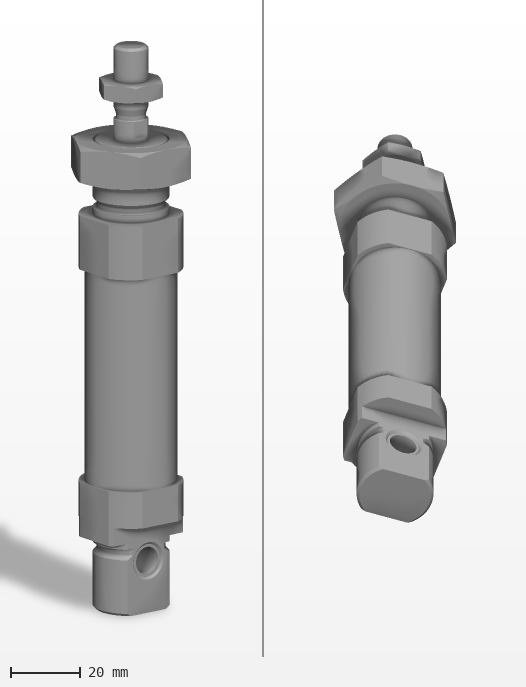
import cadquery as cq
import math

TOTAL_HEIGHT = 166.5

TUBE_DIAMETER = 26.5
HEAD_ACROSS_FLATS = 27.0
HEAD_CORNER_DIAMETER = 30.0
NECK_DIAMETER = 22.0
GROOVE_DIAMETER = 19.6
GROOVE_FILLET = 0.5
NECK_CHAMFER = 0.8
NECK_TOP_Z = 138.7
FRONT_RELIEF_TOP_Z = 121.7
FRONT_GROOVE_BOTTOM_Z = 118.7
FRONT_HEAD_TOP_Z = 116.7
FRONT_HEAD_BOTTOM_Z = 100.7
REAR_HEAD_TOP_Z = 37.8
REAR_SHOULDER_Z = 27.1
REAR_HEAD_BOTTOM_Z = 21.6
REAR_GROOVE_TOP_Z = 19.8
REAR_RELIEF_BOTTOM_Z = 16.6
RELIEF_TAPER = (NECK_DIAMETER - GROOVE_DIAMETER) / 2

EYE_THICKNESS = 16.0
EYE_HOLE_DIAMETER = 8.0
EYE_RECESS_DIAMETER = 9.7
EYE_RECESS_DEPTH = 0.7
EYE_HOLE_Z = 15.3

ROD_DIAMETER = 10.0
ROD_TIP_DIAMETER = 8.5
ROD_GROOVE_DIAMETER = 8.7
ROD_GROOVE_FILLET = 0.3
ROD_THREAD_END_Z = 148.4
ROD_GROOVE_TOP_Z = 146.4
ROD_GROOVE_BOTTOM_Z = 144.9
ROD_ACROSS_FLATS = 8.8
ROD_FLAT_BOTTOM_Z = 140.0

ROD_NUT_ACROSS_FLATS = 17.0
ROD_NUT_HEIGHT = 5.0
ROD_NUT_BOTTOM_Z = 151.3
NECK_NUT_ACROSS_FLATS = 32.0
NECK_NUT_HEIGHT = 11.0
NUT_CHAMFER_ANGLE = math.radians(20)
HEXAGON_SIDES = 6
HEXAGON_HALF_ANGLE = 180 / HEXAGON_SIDES


def turned(profile):
    """Solid of revolution about Z from (radius, z) points, closed along the axis."""
    return cq.Workplane("XZ").polyline(profile).close().revolve(360, (0, 0), (0, 1))


def round_groove_corners(body, groove_diameter, radius):
    """Fillet both bottom corners of every turned groove of the given diameter."""
    circles = body.edges("%CIRCLE")
    corners = circles.filter(lambda edge: math.isclose(edge.radius(), groove_diameter / 2))
    return corners.fillet(radius)


def head_block(bottom_z, top_z):
    """Square head whose corners are rounded by a cylinder."""
    height = top_z - bottom_z
    block = cq.Workplane("XY", origin=(0, 0, bottom_z))
    square = block.rect(HEAD_ACROSS_FLATS, HEAD_ACROSS_FLATS).extrude(height)
    return square.intersect(block.circle(HEAD_CORNER_DIAMETER / 2).extrude(height))


def cut_to_thickness(body, thickness, bottom_z, top_z):
    """Mill two parallel flats, facing -X and +X, between two heights."""
    height = top_z - bottom_z
    cutter_width = HEAD_CORNER_DIAMETER
    for side in (-1, 1):
        center_x = side * (thickness + cutter_width) / 2
        cutter = cq.Workplane("XY", origin=(center_x, 0, bottom_z))
        body = body.cut(cutter.rect(cutter_width, cutter_width).extrude(height))
    return body


def housing_core():
    """Round parts of the housing: rear neck, tube and front neck with their thread reliefs."""
    neck = NECK_DIAMETER / 2
    groove = GROOVE_DIAMETER / 2
    tube = TUBE_DIAMETER / 2
    body = turned([
        (0, 0),
        (neck - NECK_CHAMFER, 0),
        (neck, NECK_CHAMFER),
        (neck, REAR_RELIEF_BOTTOM_Z),
        (groove, REAR_RELIEF_BOTTOM_Z + RELIEF_TAPER),
        (groove, REAR_GROOVE_TOP_Z),
        (neck, REAR_GROOVE_TOP_Z),
        (neck, REAR_HEAD_TOP_Z),
        (tube, REAR_HEAD_TOP_Z),
        (tube, FRONT_HEAD_BOTTOM_Z),
        (neck, FRONT_HEAD_BOTTOM_Z),
        (neck, FRONT_GROOVE_BOTTOM_Z),
        (groove, FRONT_GROOVE_BOTTOM_Z),
        (groove, FRONT_RELIEF_TOP_Z - RELIEF_TAPER),
        (neck, FRONT_RELIEF_TOP_Z),
        (neck, NECK_TOP_Z - NECK_CHAMFER),
        (neck - NECK_CHAMFER, NECK_TOP_Z),
        (0, NECK_TOP_Z),
    ])
    return round_groove_corners(body, GROOVE_DIAMETER, GROOVE_FILLET)


def eye_hole():
    """Cross hole along X with a shallow flared recess on both faces of the eye."""
    hole = EYE_HOLE_DIAMETER / 2
    recess = EYE_RECESS_DIAMETER / 2
    mouth = recess + EYE_RECESS_DEPTH
    face = EYE_THICKNESS / 2
    floor = face - EYE_RECESS_DEPTH
    cutter = turned([
        (0, -face),
        (mouth, -face),
        (recess, -floor),
        (hole, -floor),
        (hole, floor),
        (recess, floor),
        (mouth, face),
        (0, face),
    ])
    return cutter.rotate((0, 0, 0), (0, 1, 0), 90).translate((0, 0, EYE_HOLE_Z))


def make_housing():
    """Core with both heads, the milled rear eye and the rod bore through the front neck and head."""
    body = housing_core()
    body = body.union(head_block(REAR_HEAD_BOTTOM_Z, REAR_HEAD_TOP_Z))
    body = body.union(head_block(FRONT_HEAD_BOTTOM_Z, FRONT_HEAD_TOP_Z))
    body = cut_to_thickness(body, EYE_THICKNESS, 0, REAR_SHOULDER_Z)
    body = body.cut(eye_hole())
    bore_depth = NECK_TOP_Z - FRONT_HEAD_BOTTOM_Z
    rod_bore = cq.Workplane("XY", origin=(0, 0, FRONT_HEAD_BOTTOM_Z))
    return body.cut(rod_bore.circle(ROD_DIAMETER / 2).extrude(bore_depth))


def make_rod():
    """Rod with a chamfered tip, a thread relief and two wrench flats, ending inside the front head."""
    rod = ROD_DIAMETER / 2
    tip = ROD_TIP_DIAMETER / 2
    groove = ROD_GROOVE_DIAMETER / 2
    body = turned([
        (0, FRONT_HEAD_BOTTOM_Z),
        (rod, FRONT_HEAD_BOTTOM_Z),
        (rod, ROD_GROOVE_BOTTOM_Z),
        (groove, ROD_GROOVE_BOTTOM_Z),
        (groove, ROD_GROOVE_TOP_Z),
        (rod, ROD_THREAD_END_Z),
        (rod, TOTAL_HEIGHT - (rod - tip)),
        (tip, TOTAL_HEIGHT),
        (0, TOTAL_HEIGHT),
    ])
    body = round_groove_corners(body, ROD_GROOVE_DIAMETER, ROD_GROOVE_FILLET)
    return cut_to_thickness(body, ROD_ACROSS_FLATS, ROD_FLAT_BOTTOM_Z, ROD_GROOVE_BOTTOM_Z)


def make_nut(across_flats, height, bore_diameter, bottom_z):
    """Hexagon nut with flats facing -X and +X and conical chamfers on both faces."""
    across_corners = across_flats / math.cos(math.radians(HEXAGON_HALF_ANGLE))
    flat = across_flats / 2
    corner = across_corners / 2
    drop = (corner - flat) * math.tan(NUT_CHAMFER_ANGLE)
    blank = cq.Workplane("XY").polygon(HEXAGON_SIDES, across_corners).extrude(height)
    blank = blank.rotate((0, 0, 0), (0, 0, 1), HEXAGON_HALF_ANGLE)
    envelope = turned([
        (0, 0), (flat, 0), (corner, drop), (corner, height - drop), (flat, height), (0, height),
    ])
    bore = cq.Workplane("XY").circle(bore_diameter / 2).extrude(height)
    return blank.intersect(envelope).cut(bore).translate((0, 0, bottom_z))


housing = make_housing()
rod = make_rod()
rod_nut = make_nut(ROD_NUT_ACROSS_FLATS, ROD_NUT_HEIGHT, ROD_DIAMETER, ROD_NUT_BOTTOM_Z)
neck_nut = make_nut(NECK_NUT_ACROSS_FLATS, NECK_NUT_HEIGHT, NECK_DIAMETER, NECK_TOP_Z - NECK_NUT_HEIGHT)

result = cq.Compound.makeCompound([housing.val(), rod.val(), rod_nut.val(), neck_nut.val()])